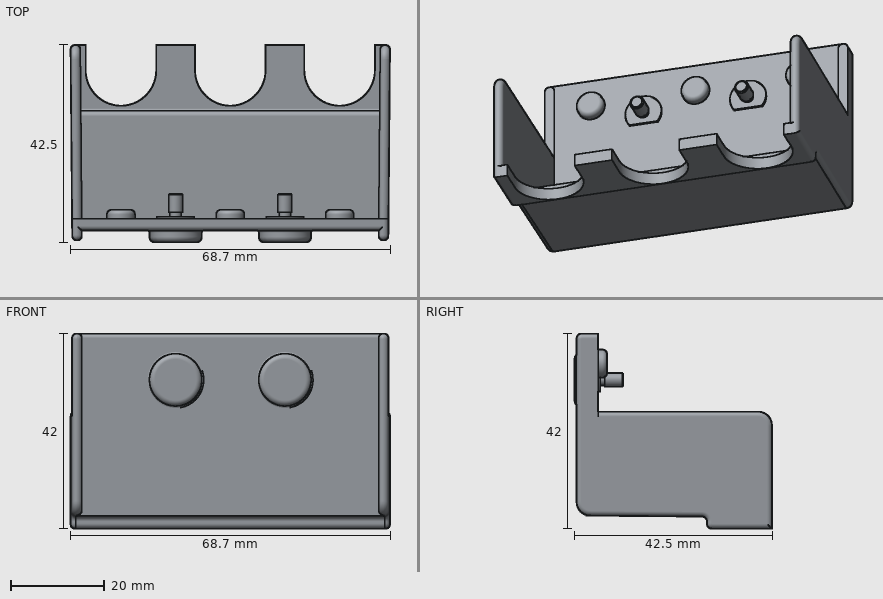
import cadquery as cq
import math

OUTER_WIDTH = 68.7
HEIGHT = 42.0
REAR_Y = 39.9
DRAFT_ANGLE = 0.5

WALL_THICKNESS = 2.1
WALL_OVERHANG = 2.1
ARM_TOP_Z = 25.2
ARM_CORNER_RADIUS = 3.0
EDGE_RADIUS = 1.0
SMALL_CORNER_RADIUS = 1.1

PLATE_THICKNESS = 2.55
PLATE_EDGE_RADIUS = 0.95
FLOOR_THICKNESS = 2.1
LEDGE_THICKNESS = 2.7
FRONT_UNDERSIDE_Z = 2.8
LEDGE_LENGTH = 14.0
STEP_FILLET = 0.95
UPPER_STEP_Y = 25.8
UPPER_STEP_ROUND = 1.2
UPPER_STEP_FILLET = 0.5

PITCH = 23.5
NOTCH_RADIUS = 7.55
NOTCH_DEPTH = 13.05

BUTTON_Z = 32.0
BUTTON_RADIUS = 5.65
BUTTON_HEIGHT = 2.55
BUTTON_ROUND_WIDTH = 1.2
BUTTON_BASE_FILLET = 0.4

PIN_RADIUS = 1.5
PIN_LENGTH = 5.4
PIN_CHAMFER = 0.3
NECK_RADIUS = 1.25
NECK_END = 1.4
COLLAR_RADIUS = 4.05
COLLAR_THICKNESS = 0.5
COLLAR_FLAT_DROP = 2.55

STUD_Z = 35.5
STUD_RADIUS = 3.0
STUD_HEIGHT = 1.9
STUD_ROUND = 0.95

DRAFT_SLOPE = math.tan(math.radians(DRAFT_ANGLE))
TIP_Y = -WALL_OVERHANG
PIVOT_Y = REAR_Y - EDGE_RADIUS
STEP_Y = REAR_Y - LEDGE_LENGTH
BUTTON_XS = (-PITCH / 2, PITCH / 2)
NOTCH_XS = (-PITCH, 0, PITCH)


def underside_z(y):
    """Height of the sloping underside of the floor."""
    return FRONT_UNDERSIDE_Z - y * DRAFT_SLOPE


def outer_x(y):
    """Half-width across the outer wall faces."""
    return OUTER_WIDTH / 2 - (PIVOT_Y - y) * DRAFT_SLOPE


def extrude_along_x(points, start_x, length):
    """Prism with a (Y, Z) outline, starting at start_x."""
    return cq.Workplane("YZ").workplane(offset=start_x).polyline(points).close().extrude(length)


def round_edge(solid, y, z, radius):
    """Fillet the X-parallel edge through (y, z)."""
    margin = 0.035
    low = (-OUTER_WIDTH, y - margin, z - margin)
    high = (OUTER_WIDTH, y + margin, z + margin)
    return solid.edges("|X").edges(cq.selectors.BoxSelector(low, high)).fillet(radius)


def make_wall():
    """Left side wall: an arm and a taller front tab, rounded on their free edges and splayed to the rear."""
    arm_points = [
        (TIP_Y, underside_z(TIP_Y)),
        (STEP_Y, underside_z(STEP_Y)),
        (STEP_Y, 0),
        (REAR_Y, 0),
        (REAR_Y, ARM_TOP_Z),
        (TIP_Y, ARM_TOP_Z),
    ]
    arm = extrude_along_x(arm_points, 0, WALL_THICKNESS)
    arm = round_edge(arm, TIP_Y, underside_z(TIP_Y), ARM_CORNER_RADIUS)
    arm = round_edge(arm, REAR_Y, ARM_TOP_Z, ARM_CORNER_RADIUS)
    arm = round_edge(arm, STEP_Y, underside_z(STEP_Y), STEP_FILLET)
    arm = round_edge(arm, STEP_Y, 0, SMALL_CORNER_RADIUS)
    arm = arm.faces("<X or >X").edges().fillet(EDGE_RADIUS)

    tab_bottom = ARM_TOP_Z / 2
    tab_points = [
        (TIP_Y, tab_bottom),
        (PLATE_THICKNESS, tab_bottom),
        (PLATE_THICKNESS, HEIGHT),
        (TIP_Y, HEIGHT),
    ]
    tab = extrude_along_x(tab_points, 0, WALL_THICKNESS)
    tab = round_edge(tab, TIP_Y, HEIGHT, SMALL_CORNER_RADIUS)
    free_edges = tab.faces("<X or >X").edges("not(<Z or >Y)")
    tab = free_edges.fillet(EDGE_RADIUS)
    splay_axis = ((0, PIVOT_Y, 0), (0, PIVOT_Y, 1))
    wall = arm.union(tab).rotate(*splay_axis, DRAFT_ANGLE)
    return wall.translate((-OUTER_WIDTH / 2, 0, 0))


def make_body():
    """Front plate, sloping floor and rear ledge, reaching to the middle of both walls."""
    ledge_top = LEDGE_THICKNESS
    floor_top = underside_z(UPPER_STEP_Y) + FLOOR_THICKNESS
    points = [
        (0, underside_z(0)),
        (STEP_Y, underside_z(STEP_Y)),
        (STEP_Y, 0),
        (REAR_Y, 0),
        (REAR_Y, ledge_top),
        (UPPER_STEP_Y, ledge_top),
        (UPPER_STEP_Y, floor_top),
        (PLATE_THICKNESS, underside_z(PLATE_THICKNESS) + FLOOR_THICKNESS),
        (PLATE_THICKNESS, HEIGHT),
        (0, HEIGHT),
    ]
    body = extrude_along_x(points, -OUTER_WIDTH / 2, OUTER_WIDTH)
    body = round_edge(body, 0, HEIGHT, PLATE_EDGE_RADIUS)
    body = round_edge(body, STEP_Y, underside_z(STEP_Y), STEP_FILLET)
    body = round_edge(body, STEP_Y, 0, SMALL_CORNER_RADIUS)
    body = round_edge(body, UPPER_STEP_Y, floor_top, UPPER_STEP_ROUND)
    body = round_edge(body, UPPER_STEP_Y, ledge_top, UPPER_STEP_FILLET)

    front_x = outer_x(0) - WALL_THICKNESS / 2
    rear_x = outer_x(REAR_Y) - WALL_THICKNESS / 2
    plan = [(-front_x, 0), (front_x, 0), (rear_x, REAR_Y), (-rear_x, REAR_Y)]
    return body.intersect(cq.Workplane("XY").polyline(plan).close().extrude(HEIGHT))


def make_notch(x):
    """Cutter for a round-ended notch open to the rear."""
    centre_y = REAR_Y - NOTCH_DEPTH + NOTCH_RADIUS
    return (
        cq.Workplane("XY")
        .moveTo(x - NOTCH_RADIUS, REAR_Y)
        .lineTo(x - NOTCH_RADIUS, centre_y)
        .threePointArc((x, centre_y - NOTCH_RADIUS), (x + NOTCH_RADIUS, centre_y))
        .lineTo(x + NOTCH_RADIUS, REAR_Y)
        .close()
        .extrude(LEDGE_THICKNESS)
    )


def disc(x, z, start_y, end_y, radius):
    """Cylinder along +Y from start_y to end_y."""
    plane = cq.Plane((x, start_y, z), (1, 0, 0), (0, 1, 0))
    return cq.Workplane(plane).circle(radius).extrude(end_y - start_y)


def make_button(x):
    """Round button with a rolled rim and a small fillet where it meets the plate."""
    base_radius = BUTTON_RADIUS + BUTTON_BASE_FILLET
    base = disc(x, BUTTON_Z, -BUTTON_BASE_FILLET, PLATE_THICKNESS / 2, base_radius)
    cove = cq.Solid.makeTorus(base_radius, BUTTON_BASE_FILLET, (x, -BUTTON_BASE_FILLET, BUTTON_Z), (0, 1, 0))
    cap = disc(x, BUTTON_Z, -BUTTON_HEIGHT, PLATE_THICKNESS / 2, BUTTON_RADIUS)
    return base.cut(cq.Workplane(cove)).union(cap.faces("<Y").edges().fillet(BUTTON_ROUND_WIDTH))


def make_pin(x):
    """Pin with a chamfered end, a thinner neck and a collar that is cut flat below."""
    root = PLATE_THICKNESS
    pin = disc(x, BUTTON_Z, root + NECK_END, root + PIN_LENGTH, PIN_RADIUS)
    pin = pin.faces(">Y").chamfer(PIN_CHAMFER)
    neck = disc(x, BUTTON_Z, root, root + NECK_END, NECK_RADIUS)
    collar = disc(x, BUTTON_Z, root, root + COLLAR_THICKNESS, COLLAR_RADIUS)
    side = 2 * COLLAR_RADIUS
    below_flat = cq.Workplane("XY").box(side, side, side).translate(
        (x, root, BUTTON_Z - COLLAR_FLAT_DROP - side / 2)
    )
    return pin.union(neck).union(collar.cut(below_flat))


def make_stud(x):
    """Short stud with a rounded rim."""
    stud = disc(x, STUD_Z, PLATE_THICKNESS, PLATE_THICKNESS + STUD_HEIGHT, STUD_RADIUS)
    return stud.faces(">Y").edges().fillet(STUD_ROUND)


left_wall = make_wall()
result = make_body()
for notch_x in NOTCH_XS:
    result = result.cut(make_notch(notch_x))
result = result.union(left_wall).union(left_wall.mirror("YZ"))
for button_x in BUTTON_XS:
    result = result.union(make_button(button_x)).union(make_pin(button_x))
for stud_x in NOTCH_XS:
    result = result.union(make_stud(stud_x))